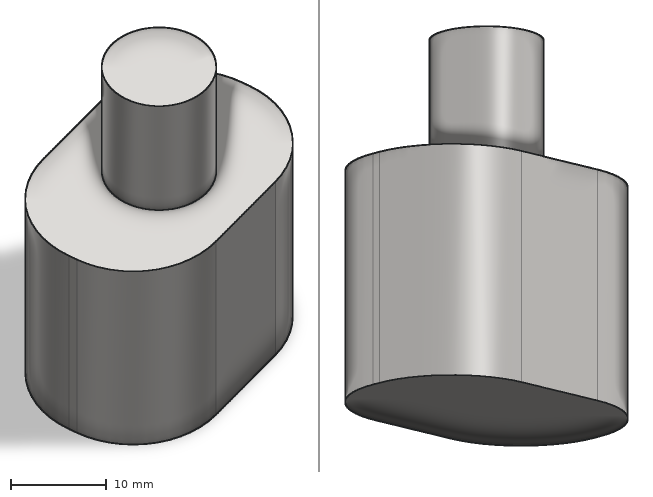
import cadquery as cq

block_width = 21.99
block_length = 31.99
block_height = 25.0
corner_radius = 10.5

pin_diameter = 12.0
pin_height = 15.0


def make_block():
    """Upright block, centred on Z, with its four vertical edges rounded."""
    block = cq.Workplane("XY").rect(block_width, block_length).extrude(block_height)
    return block.edges("|Z").fillet(corner_radius)


def add_pin(body):
    """Pin centred on the top face of the block."""
    return body.faces(">Z").workplane(origin=(0, 0, 0)).circle(pin_diameter / 2).extrude(pin_height)


result = add_pin(make_block())